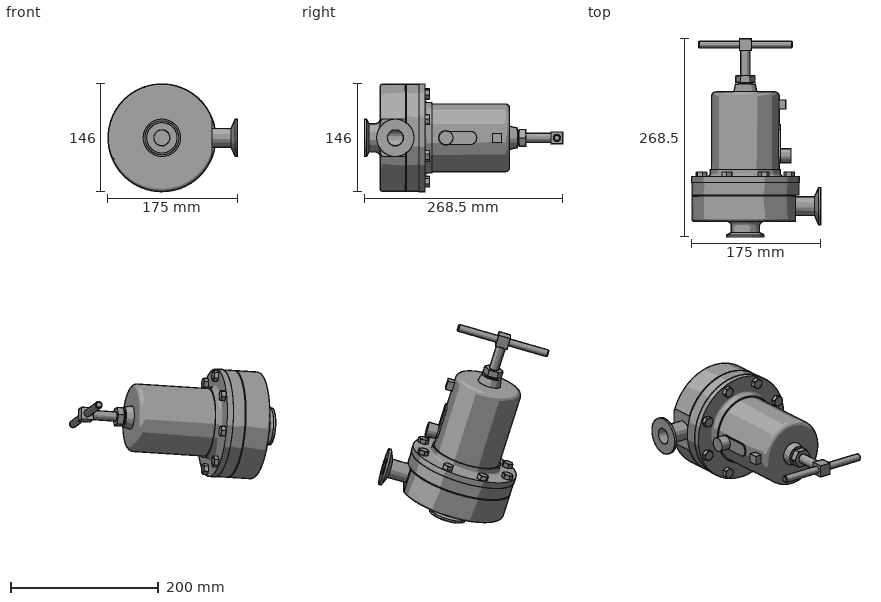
import cadquery as cq
import math


ferrule_radius = 25.2
rim_thickness = 3.2
groove_circle_radius = 21.8
groove_section_radius = 1.2
bore_radius = 10.7

neck_radius = 19.3
neck_rim_cone_top = 6.2

body_bottom = 21.2
body_top = 55.5
body_radius = 72.5
body_edge_fillet = 3.5
body_flat_x = 68.0
neck_fillet = 6.2
gap_radius = 62.8
collar_bottom = 57.0
collar_top = 73.5

flange_radius = 73.0
flange_top = 82.2
shoulder_radius = 47.8
shoulder_top = 91.3
shoulder_fillet = 3.5

bonnet_radius = 46.0
bonnet_top = 196.5
bonnet_edge_fillet = 6.2

cone_bottom_radius = 15.8
cone_top_radius = 13.5
cone_top = 207.0
washer_radius = 8.3
washer_flare = 1.5
nut_bottom = 209.2
nut_top = 218.3
nut_across_corners = 26.3
spindle_radius = 6.5

total_length = 268.5
block_size = 16.5
handle_radius = 4.8
handle_half_length = 63.6
handle_chamfer = 1.3

bolt_count = 8
bolt_circle_radius = 64.2
bolt_first_angle = 22.5
bolt_across_corners = 14.8
bolt_head_height = 6.2
bolt_head_twist = -17

head_corner_cut = 1.0
head_cone_slope = 1.7

outlet_y = 42.0
outlet_radius = 13.0
outlet_end = 102.0
outlet_cone_start = 93.5

pad_x = 47.5
pad_radius = 9.0
pad_width = 17.5
pad_top = 152.0
port_y = 110.0
port_radius = 9.7
port_end = 61.8
plug_y = 179.5
plug_size = 12.4
plug_end = 54.8


def y_cylinder(radius, bottom, top):
    return cq.Workplane("XZ", origin=(0, bottom, 0)).circle(radius).extrude(bottom - top)


def x_cylinder(radius, start, end, y):
    return cq.Workplane("YZ", origin=(start, y, 0)).circle(radius).extrude(end - start)


def y_hexagon(across_corners, bottom, top):
    """Hexagonal head along Y with corners on the X axis and the top corners turned off."""
    hexagon = cq.Workplane("XZ", origin=(0, bottom, 0)).polygon(6, across_corners).extrude(bottom - top)
    top_radius = across_corners / 2 - head_corner_cut
    bottom_radius = top_radius + (top - bottom) * head_cone_slope
    turning_cone = (
        cq.Workplane("XY")
        .polyline([(0, bottom), (bottom_radius, bottom), (top_radius, top), (0, top)])
        .close()
        .revolve(360, (0, 0, 0), (0, 1, 0))
    )
    return hexagon.intersect(turning_cone)


def make_body():
    """Inlet ferrule, neck and lower body, flattened on the outlet side."""
    neck_arc_x = neck_radius + neck_fillet * (1 - math.sqrt(0.5))
    neck_arc_y = body_bottom - neck_fillet * (1 - math.sqrt(0.5))
    profile = (
        cq.Workplane("XY")
        .moveTo(0, 0)
        .lineTo(ferrule_radius, 0)
        .lineTo(ferrule_radius, rim_thickness)
        .lineTo(neck_radius, neck_rim_cone_top)
        .lineTo(neck_radius, body_bottom - neck_fillet)
        .threePointArc((neck_arc_x, neck_arc_y), (neck_radius + neck_fillet, body_bottom))
        .lineTo(body_radius, body_bottom)
        .lineTo(body_radius, body_top)
        .lineTo(0, body_top)
        .close()
    )
    body = profile.revolve(360, (0, 0, 0), (0, 1, 0))
    bottom_edge = body.edges(cq.selectors.RadiusNthSelector(-1)).edges("<Y")
    flat_cut = (
        cq.Workplane("XY")
        .box(body_radius, 2 * body_top, 2 * body_radius, centered=(False, True, True))
        .translate((body_flat_x, 0, 0))
    )
    return bottom_edge.fillet(body_edge_fillet).cut(flat_cut)


def make_cover():
    """Mid collar, flange, shoulder and bonnet stacked above the body."""
    core = y_cylinder(gap_radius, body_top, collar_bottom)
    collar = y_cylinder(body_radius, collar_bottom, collar_top)
    flange = y_cylinder(flange_radius, collar_top, flange_top)
    shoulder = y_cylinder(shoulder_radius, flange_top, shoulder_top)
    flare_radius = shoulder_radius + shoulder_fillet
    flare_top = flange_top + shoulder_fillet
    flare_hollow = (
        cq.Workplane("XY")
        .moveTo(flare_radius, flare_top)
        .circle(shoulder_fillet)
        .revolve(360, (0, 0, 0), (0, 1, 0))
    )
    flare = y_cylinder(flare_radius, flange_top, flare_top).cut(flare_hollow)
    bonnet = y_cylinder(bonnet_radius, shoulder_top, bonnet_top).faces(">Y").edges().fillet(bonnet_edge_fillet)
    return core.union(collar).union(flange).union(shoulder).union(flare).union(bonnet)


def make_bolts():
    """Ring of hexagonal bolt heads, all turned alike relative to the radial direction."""
    head = y_hexagon(bolt_across_corners, flange_top, flange_top + bolt_head_height)
    head = head.rotate((0, 0, 0), (0, 1, 0), -bolt_head_twist).translate((bolt_circle_radius, 0, 0))
    bolts = cq.Workplane("XZ")
    for index in range(bolt_count):
        angle = bolt_first_angle + index * 360 / bolt_count
        bolts = bolts.add(head.rotate((0, 0, 0), (0, 1, 0), -angle))
    return bolts.combine()


def make_spindle():
    """Cone, lock nut, spindle and T-handle."""
    cone = (
        cq.Workplane("XY")
        .polyline([(0, bonnet_top), (cone_bottom_radius, bonnet_top), (cone_top_radius, cone_top), (0, cone_top)])
        .close()
        .revolve(360, (0, 0, 0), (0, 1, 0))
    )
    washer = (
        cq.Workplane("XY")
        .moveTo(0, cone_top)
        .lineTo(washer_radius + washer_flare, cone_top)
        .lineTo(washer_radius, cone_top + washer_flare)
        .lineTo(washer_radius, nut_bottom)
        .lineTo(0, nut_bottom)
        .close()
        .revolve(360, (0, 0, 0), (0, 1, 0))
    )
    nut = y_hexagon(nut_across_corners, nut_bottom, nut_top)
    block_y = total_length - block_size / 2
    rod = y_cylinder(spindle_radius, nut_top, block_y)
    block = cq.Workplane("XY").box(block_size, block_size, block_size).translate((0, block_y, 0))
    handle = x_cylinder(handle_radius, -handle_half_length, handle_half_length, block_y)
    handle = handle.faces("<X or >X").edges().chamfer(handle_chamfer)
    return cone.union(washer).union(nut).union(rod).union(block).union(handle)


def make_outlet():
    return (
        cq.Workplane("XY")
        .moveTo(0, outlet_y)
        .lineTo(0, outlet_y + outlet_radius)
        .lineTo(outlet_cone_start, outlet_y + outlet_radius)
        .lineTo(outlet_end - rim_thickness, outlet_y + ferrule_radius)
        .lineTo(outlet_end, outlet_y + ferrule_radius)
        .lineTo(outlet_end, outlet_y)
        .close()
        .revolve(360, (0, outlet_y, 0), (1, outlet_y, 0))
    )


def make_bonnet_fittings():
    """Round-ended pad, its port, and a square plug, rooted in the bonnet."""
    root_x = bonnet_radius / 2
    half_width = pad_width / 2
    side_offset = math.sqrt(pad_radius**2 - half_width**2)
    side_bottom = port_y + side_offset
    side_top = pad_top - pad_radius + side_offset
    pad = (
        cq.Workplane("YZ", origin=(root_x, 0, 0))
        .moveTo(side_bottom, half_width)
        .lineTo(side_top, half_width)
        .threePointArc((pad_top, 0), (side_top, -half_width))
        .lineTo(side_bottom, -half_width)
        .threePointArc((port_y - pad_radius, 0), (side_bottom, half_width))
        .close()
        .extrude(pad_x - root_x)
    )
    port = x_cylinder(port_radius, pad_x, port_end, port_y)
    plug = (
        cq.Workplane("YZ", origin=(root_x, plug_y, 0))
        .rect(plug_size, plug_size)
        .extrude(plug_end - root_x)
    )
    return pad.union(port).union(plug)


def make_passages():
    """Half-round gasket groove of the inlet, and the two bores meeting at the outlet axis."""
    groove = (
        cq.Workplane("XY")
        .moveTo(groove_circle_radius, 0)
        .circle(groove_section_radius)
        .revolve(360, (0, 0, 0), (0, 1, 0))
    )
    inlet_bore = y_cylinder(bore_radius, 0, outlet_y + bore_radius)
    outlet_bore = x_cylinder(bore_radius, 0, outlet_end, outlet_y)
    return groove.union(inlet_bore).union(outlet_bore)


result = (
    make_body()
    .union(make_outlet())
    .union(make_cover())
    .union(make_bolts())
    .union(make_spindle())
    .union(make_bonnet_fittings())
    .cut(make_passages())
)